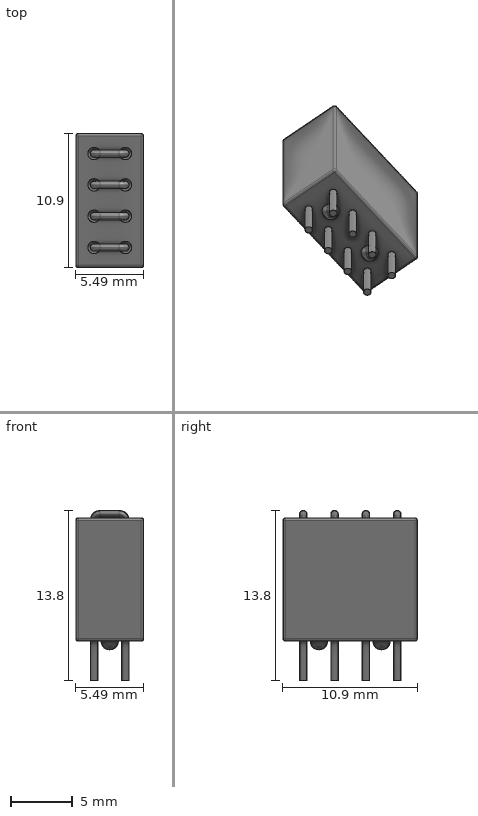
import cadquery as cq

BODY_X = 5.49
BODY_Y = 10.88
BODY_Z = 10.0
EDGE_RADIUS = 0.2

PITCH = 2.54
STAPLE_COUNT = 4
WIRE_DIAMETER = 0.6
WIRE_RADIUS = WIRE_DIAMETER / 2
BEND_RADIUS = 0.5
STAPLE_RISE = WIRE_DIAMETER
PIN_LENGTH = 3.2

DIMPLE_DIAMETER = 1.0
DIMPLE_DEPTH = 0.2

DOME_RADIUS = 0.7

leg_x = PITCH / 2
bridge_half = leg_x - BEND_RADIUS
bridge_z = BODY_Z + STAPLE_RISE - WIRE_RADIUS
bend_z = bridge_z - BEND_RADIUS
staple_ys = [(i - (STAPLE_COUNT - 1) / 2) * PITCH for i in range(STAPLE_COUNT)]
dome_ys = [-PITCH, PITCH]


def make_housing():
    """Block with every edge rounded."""
    block = cq.Workplane("XY").box(BODY_X, BODY_Y, BODY_Z, centered=(True, True, False))
    return block.edges().fillet(EDGE_RADIUS)


def make_dimple(x, y):
    """Cone narrowing from the dimple rim to the wire surface."""
    return (
        cq.Workplane("XY", origin=(x, y, BODY_Z))
        .circle(DIMPLE_DIAMETER / 2)
        .workplane(offset=-DIMPLE_DEPTH)
        .circle(WIRE_RADIUS)
        .loft(ruled=True)
    )


def make_staple(y):
    """Round wire bent into a U, with its two legs pointing down."""
    bend = cq.Vector(1, 1).normalized() * BEND_RADIUS
    path = (
        cq.Workplane("XZ", origin=(0, y, 0))
        .moveTo(-leg_x, -PIN_LENGTH)
        .lineTo(-leg_x, bend_z)
        .threePointArc((-bridge_half - bend.x, bend_z + bend.y), (-bridge_half, bridge_z))
        .lineTo(bridge_half, bridge_z)
        .threePointArc((bridge_half + bend.x, bend_z + bend.y), (leg_x, bend_z))
        .lineTo(leg_x, -PIN_LENGTH)
    )
    wire_section = cq.Workplane("XY", origin=(-leg_x, y, -PIN_LENGTH)).circle(WIRE_RADIUS)
    return wire_section.sweep(path)


def make_dome(y):
    """Ball centred on the bottom face, so its lower half stands proud."""
    return cq.Workplane("XY", origin=(0, y, 0)).sphere(DOME_RADIUS)


result = make_housing()
for staple_y in staple_ys:
    for side in (-1, 1):
        result = result.cut(make_dimple(side * leg_x, staple_y))
for staple_y in staple_ys:
    result = result.union(make_staple(staple_y))
for dome_y in dome_ys:
    result = result.union(make_dome(dome_y))